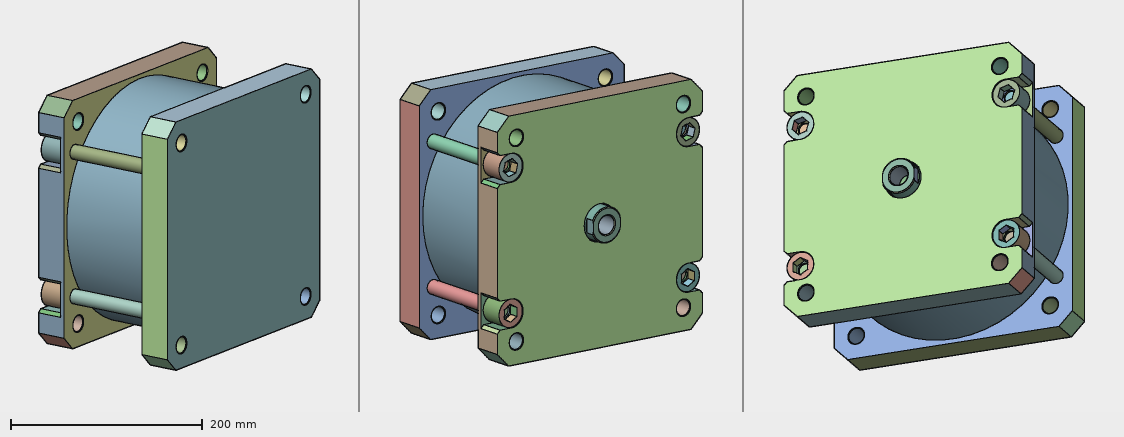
import cadquery as cq
import math

TOTAL_LENGTH = 178.0
SHAFT_PROJECTION = 12.0
PLATE_THICKNESS = 33.0
PLATE_SIDE = 270.0
FRONT_FACE_X = SHAFT_PROJECTION
BARREL_START_X = FRONT_FACE_X + PLATE_THICKNESS
REAR_PLATE_X = TOTAL_LENGTH - PLATE_THICKNESS

CORNER_CHAMFER = 15.0
MOUNT_HOLE_DIAMETER = 17.3
MOUNT_HOLE_RIM_CHAMFER = 0.8
RIM_CHAMFER_ANGLE = 45.0
MOUNT_HOLE_OFFSET = 110.0

BARREL_DIAMETER = 260.8
BARREL_LENGTH = REAR_PLATE_X - BARREL_START_X

SCREW_Y = 116.6
SCREW_Z = 78.5
ROD_DIAMETER = 16.0
HEAD_DIAMETER = 30.5
HEAD_RECESS = 1.0
HEAD_START_X = FRONT_FACE_X + HEAD_RECESS
SOCKET_SIDES = 6
SOCKET_ACROSS_FLATS = 16.7
SOCKET_DEPTH = 10.8
SOCKET_PILOT_DIAMETER = 14.0
SOCKET_PILOT_DEPTH = 13.5
UPPER_SOCKET_TILT = 15.0

SLOT_DEPTH = 28.0
SLOT_WIDTH = 31.3
SLOT_MOUTH_WIDTH = 38.5
SLOT_FLARE_LENGTH = 3.8

HEAD_LENGTH = SLOT_DEPTH - HEAD_RECESS
ROD_START_X = FRONT_FACE_X + SLOT_DEPTH
ROD_ENGAGEMENT = SLOT_DEPTH
ROD_END_X = REAR_PLATE_X + ROD_ENGAGEMENT

SHAFT_DIAMETER = 39.0
SHAFT_BORE_DIAMETER = 41.3
SHAFT_FLATS_WIDTH = 35.6
SHAFT_FLATS_LENGTH = 10.5
SHAFT_CHAMFER = 1.0
SHAFT_HOLE_DIAMETER = 20.5
SHAFT_HOLE_RIM_CHAMFER = 1.0
SHAFT_HOLE_DEPTH = 27.0
DRILL_POINT_ANGLE = 118.0

MOUNT_HOLE_POINTS = [(y * MOUNT_HOLE_OFFSET, z * MOUNT_HOLE_OFFSET) for y in (-1, 1) for z in (-1, 1)]
SCREW_POINTS = [(y * SCREW_Y, z * SCREW_Z) for y in (-1, 1) for z in (-1, 1)]


def plane_at(x):
    """YZ sketch plane facing +X at the given X."""
    return cq.Workplane("YZ", origin=(x, 0, 0))


def mount_hole():
    """Cutter for a through hole that widens slightly at both plate faces."""
    hole = plane_at(0).circle(MOUNT_HOLE_DIAMETER / 2).extrude(PLATE_THICKNESS)
    rim_radius = MOUNT_HOLE_DIAMETER / 2 + MOUNT_HOLE_RIM_CHAMFER
    front_rim = plane_at(0).circle(rim_radius).extrude(MOUNT_HOLE_RIM_CHAMFER, taper=RIM_CHAMFER_ANGLE)
    rear_rim = plane_at(PLATE_THICKNESS).circle(rim_radius).extrude(-MOUNT_HOLE_RIM_CHAMFER, taper=RIM_CHAMFER_ANGLE)
    return hole.union(front_rim).union(rear_rim)


def blank_plate(start_x):
    """Square plate with chamfered corners and four mounting holes."""
    plate = plane_at(start_x).rect(PLATE_SIDE, PLATE_SIDE).extrude(PLATE_THICKNESS)
    plate = plate.edges("|X").chamfer(CORNER_CHAMFER)
    for y, z in MOUNT_HOLE_POINTS:
        plate = plate.cut(mount_hole().translate((start_x, y, z)))
    return plate


def screw_pocket(y, z):
    """Round-ended slot that runs out of the nearer Y side with a flared mouth."""
    side = math.copysign(1, y)
    edge_y = side * PLATE_SIDE / 2
    flare_y = edge_y - side * SLOT_FLARE_LENGTH
    half_width = SLOT_WIDTH / 2
    half_mouth = SLOT_MOUTH_WIDTH / 2
    return (
        plane_at(FRONT_FACE_X)
        .moveTo(y, z + half_width)
        .threePointArc((y - side * half_width, z), (y, z - half_width))
        .lineTo(flare_y, z - half_width)
        .lineTo(edge_y, z - half_mouth)
        .lineTo(edge_y, z + half_mouth)
        .lineTo(flare_y, z + half_width)
        .close()
        .extrude(SLOT_DEPTH)
    )


def make_front_plate():
    plate = blank_plate(FRONT_FACE_X)
    for y, z in SCREW_POINTS:
        plate = plate.cut(screw_pocket(y, z))
    rod_holes = plane_at(FRONT_FACE_X).pushPoints(SCREW_POINTS)
    plate = plate.cut(rod_holes.circle(ROD_DIAMETER / 2).extrude(PLATE_THICKNESS))
    return plate.cut(plane_at(FRONT_FACE_X).circle(SHAFT_BORE_DIAMETER / 2).extrude(PLATE_THICKNESS))


def make_rear_plate():
    rod_holes = plane_at(REAR_PLATE_X).pushPoints(SCREW_POINTS)
    return blank_plate(REAR_PLATE_X).cut(rod_holes.circle(ROD_DIAMETER / 2).extrude(ROD_ENGAGEMENT))


def make_barrel():
    return plane_at(BARREL_START_X).circle(BARREL_DIAMETER / 2).extrude(BARREL_LENGTH)


def make_tie_screw(y, z):
    """Cap screw with a hexagon socket, its rod running into the rear plate."""
    head = plane_at(HEAD_START_X).circle(HEAD_DIAMETER / 2).extrude(HEAD_LENGTH)
    rod = plane_at(ROD_START_X).circle(ROD_DIAMETER / 2)
    rod = rod.extrude(ROD_END_X - ROD_START_X)
    socket = plane_at(HEAD_START_X).polygon(SOCKET_SIDES, SOCKET_ACROSS_FLATS, circumscribed=True)
    socket = socket.extrude(SOCKET_DEPTH)
    if z > 0:
        socket = socket.rotate((0, 0, 0), (1, 0, 0), UPPER_SOCKET_TILT)
    socket = socket.union(plane_at(HEAD_START_X).circle(SOCKET_PILOT_DIAMETER / 2).extrude(SOCKET_PILOT_DEPTH))
    return head.union(rod).cut(socket).translate((0, y, z))


def make_shaft():
    """Shaft end with two flats, a chamfered tip and a drilled centre hole."""
    radius = SHAFT_DIAMETER / 2
    shaft = plane_at(0).circle(radius).extrude(BARREL_START_X)
    shaft = shaft.faces("<X").chamfer(SHAFT_CHAMFER)
    for side in (-1, 1):
        flat = cq.Workplane("XY").box(SHAFT_FLATS_LENGTH, radius, SHAFT_DIAMETER, centered=(False, True, True))
        shaft = shaft.cut(flat.translate((0, side * (SHAFT_FLATS_WIDTH + radius) / 2, 0)))
    hole_radius = SHAFT_HOLE_DIAMETER / 2
    point_length = hole_radius / math.tan(math.radians(DRILL_POINT_ANGLE / 2))
    hole = (
        cq.Workplane("XY")
        .moveTo(0, 0)
        .lineTo(0, hole_radius + SHAFT_HOLE_RIM_CHAMFER)
        .lineTo(SHAFT_HOLE_RIM_CHAMFER, hole_radius)
        .lineTo(SHAFT_HOLE_DEPTH, hole_radius)
        .lineTo(SHAFT_HOLE_DEPTH + point_length, 0)
        .close()
        .revolve(360, (0, 0, 0), (1, 0, 0))
    )
    return shaft.cut(hole)


front_plate = make_front_plate()
rear_plate = make_rear_plate()
barrel = make_barrel()
shaft = make_shaft()
tie_screws = [make_tie_screw(y, z) for y, z in SCREW_POINTS]

result = cq.Compound.makeCompound(
    [front_plate.val(), rear_plate.val(), barrel.val(), shaft.val(), *[screw.val() for screw in tie_screws]]
)